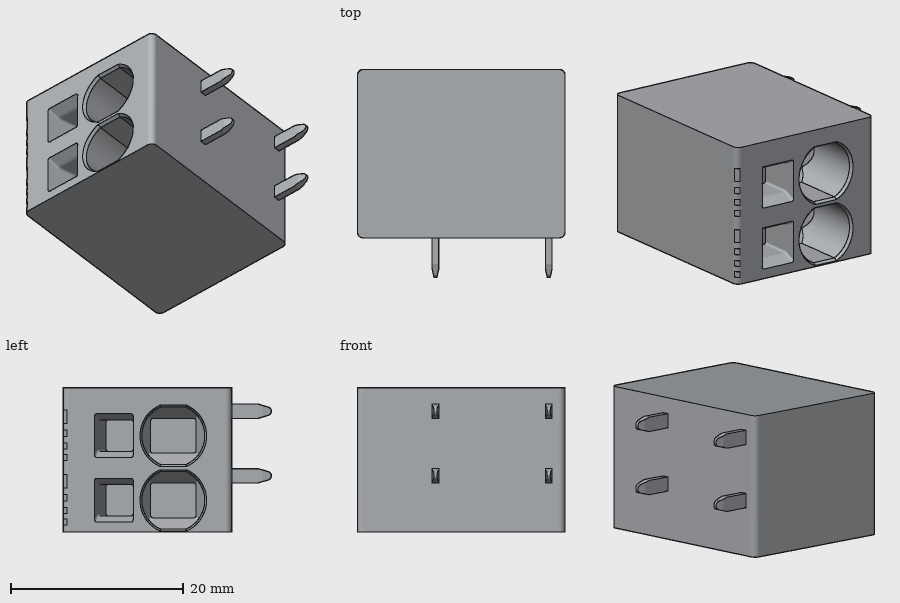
import cadquery as cq
import math


width = 24.15
depth = 19.6
height = 16.8
corner_radius = 0.7

pole_pitch = 7.5
first_bore_z = 3.7
bore_levels = [first_bore_z + pole * pole_pitch for pole in range(2)]

bore_y = 6.8
bore_radius = 3.65
bore_half_height = 3.35
bore_straight_depth = 6.78
bore_lead_in = 0.22
bore_lead_in_depth = 0.4

funnel_floor_y = 5.25
funnel_floor_z = 4.05
funnel_depth = 2.42
funnel_draft = 30.0
funnel_corner_radius = 0.3

slot_near_y = 11.45
slot_far_y = 15.95
slot_floor_far_y = 14.62
slot_depth = 5.57
slot_mouth_height = 5.08
slot_inner_height = 3.68
slot_ramp_depth = 1.45
slot_center_above_bore = 0.02
slot_ramp_blend = 1.2
slot_corner_radius = 0.3

pin_columns_x = [9.08, 22.25]
first_pin_z = 6.55
pin_levels = [first_pin_z + pole * pole_pitch for pole in range(2)]
pin_length = 24.2 - depth
pin_thickness = 0.8
pin_height = 1.7
pin_bevel_start = 3.05
pin_nose_start = 4.15
pin_nose_half_height = 0.52
pin_side_taper_start = 3.58
pin_tip_thickness = 0.35

flat_leg = 0.5
corner_flats = [(2.2, 1.57), (0.3, 0.75), (-1.15, 0.7), (-2.52, 0.7)]


def make_housing():
    block = cq.Workplane("XY").box(width, depth, height, centered=False)
    return block.edges("|Z").fillet(corner_radius)


def flatted_disc(plane, radius, half_height):
    half_chord = math.sqrt(radius**2 - half_height**2)
    return (
        plane.moveTo(-half_chord, -half_height)
        .lineTo(half_chord, -half_height)
        .threePointArc((radius, 0), (half_chord, half_height))
        .lineTo(-half_chord, half_height)
        .threePointArc((-radius, 0), (-half_chord, -half_height))
        .close()
    )


def make_bore(z):
    total_depth = bore_straight_depth + funnel_depth
    mouth = cq.Workplane("YZ", origin=(0, bore_y, z))
    barrel = flatted_disc(mouth, bore_radius, bore_half_height).extrude(total_depth)

    spread = 2 * total_depth * math.tan(math.radians(funnel_draft))
    floor = cq.Workplane("YZ", origin=(total_depth, bore_y, z))
    funnel = (
        floor.rect(funnel_floor_y, funnel_floor_z)
        .workplane(offset=-total_depth)
        .rect(funnel_floor_y + spread, funnel_floor_z + spread)
        .loft(ruled=True)
        .edges("not(<X or >X)")
        .fillet(funnel_corner_radius)
    )

    outer = flatted_disc(mouth, bore_radius + bore_lead_in, bore_half_height + bore_lead_in)
    inner = outer.workplane(offset=bore_lead_in_depth)
    lead_in = flatted_disc(inner, bore_radius, bore_half_height).loft(ruled=True)
    return barrel.intersect(funnel).union(lead_in)


def make_slot(z):
    mouth_half = slot_mouth_height / 2
    inner_half = slot_inner_height / 2
    side_profile = (
        cq.Workplane("XZ", origin=(0, slot_near_y, z))
        .moveTo(0, -mouth_half)
        .lineTo(slot_ramp_depth, -inner_half)
        .lineTo(slot_depth, -inner_half)
        .lineTo(slot_depth, inner_half)
        .lineTo(slot_ramp_depth, inner_half)
        .lineTo(0, mouth_half)
        .close()
        .extrude(-(slot_far_y - slot_near_y))
    )
    side_profile = side_profile.edges(
        cq.selectors.BoxSelector(
            (slot_ramp_depth - 0.25, slot_near_y, z - mouth_half),
            (slot_ramp_depth + 0.25, slot_far_y, z + mouth_half),
        )
    ).fillet(slot_ramp_blend)
    plan_profile = (
        cq.Workplane("XY", origin=(0, 0, z - mouth_half))
        .moveTo(0, slot_near_y)
        .lineTo(slot_depth, slot_near_y)
        .lineTo(slot_depth, slot_floor_far_y)
        .lineTo(0, slot_far_y)
        .close()
        .extrude(slot_mouth_height)
    )
    slot = side_profile.intersect(plan_profile)
    return slot.faces("<Y or >Y").edges("not(<X or >X)").fillet(slot_corner_radius)


def make_pin(x, z):
    half_height = pin_height / 2
    side_profile = (
        cq.Workplane("YZ", origin=(x - pin_thickness / 2, 0, z))
        .moveTo(0, -half_height)
        .lineTo(-pin_bevel_start, -half_height)
        .lineTo(-pin_nose_start, -pin_nose_half_height)
        .threePointArc((-pin_length, 0), (-pin_nose_start, pin_nose_half_height))
        .lineTo(-pin_bevel_start, half_height)
        .lineTo(0, half_height)
        .close()
        .extrude(pin_thickness)
    )
    plan_profile = (
        cq.Workplane("XY", origin=(x, 0, z - half_height))
        .moveTo(-pin_thickness / 2, 0)
        .lineTo(-pin_thickness / 2, -pin_side_taper_start)
        .lineTo(-pin_tip_thickness / 2, -pin_length)
        .lineTo(pin_tip_thickness / 2, -pin_length)
        .lineTo(pin_thickness / 2, -pin_side_taper_start)
        .lineTo(pin_thickness / 2, 0)
        .close()
        .extrude(pin_height)
    )
    return side_profile.intersect(plan_profile)


def make_corner_flat(center_z, flat_height):
    return (
        cq.Workplane("XY", origin=(0, depth, center_z - flat_height / 2))
        .lineTo(flat_leg, 0)
        .lineTo(0, -flat_leg)
        .close()
        .extrude(flat_height)
    )


result = make_housing()
for bore_z in bore_levels:
    result = result.cut(make_bore(bore_z))
    result = result.cut(make_slot(bore_z + slot_center_above_bore))
    for flat_offset, flat_height in corner_flats:
        result = result.cut(make_corner_flat(bore_z + flat_offset, flat_height))
for pin_x in pin_columns_x:
    for pin_z in pin_levels:
        result = result.union(make_pin(pin_x, pin_z))